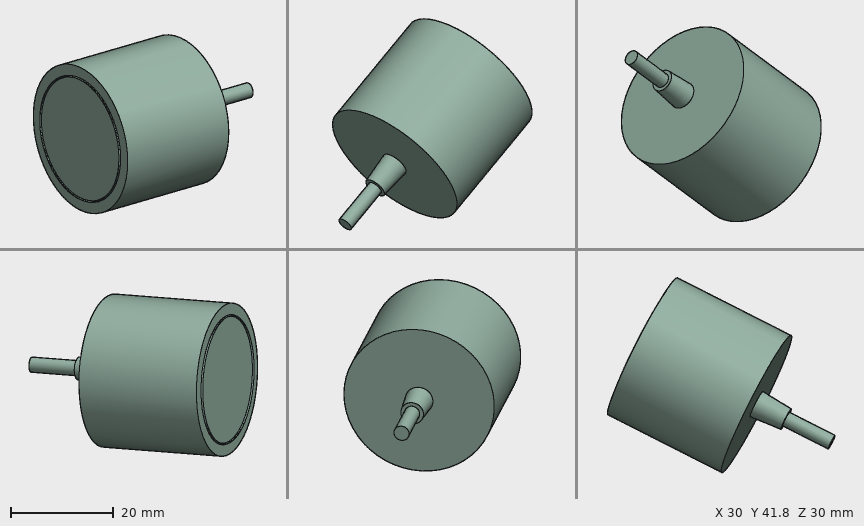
import cadquery as cq

total_length = 41.8
lip_height = 0.3
body_length = 25.0
boot_length = 6.5

body_diameter = 30.0
lip_diameter = 25.5
panel_diameter = 24.85
boot_base_diameter = 5.5
boot_tip_diameter = 4.5
cable_diameter = 3.0

boot_back = body_length + boot_length
cable_back = total_length - lip_height

lip_peak_radius = (lip_diameter + panel_diameter) / 4

profile = [
    (0, 0),
    (panel_diameter / 2, 0),
    (lip_peak_radius, -lip_height),
    (lip_diameter / 2, 0),
    (body_diameter / 2, 0),
    (body_diameter / 2, body_length),
    (boot_base_diameter / 2, body_length),
    (boot_tip_diameter / 2, boot_back),
    (cable_diameter / 2, boot_back),
    (cable_diameter / 2, cable_back),
    (0, cable_back),
]

result = cq.Workplane("XY").polyline(profile).close().revolve(360, (0, 0), (0, 1))